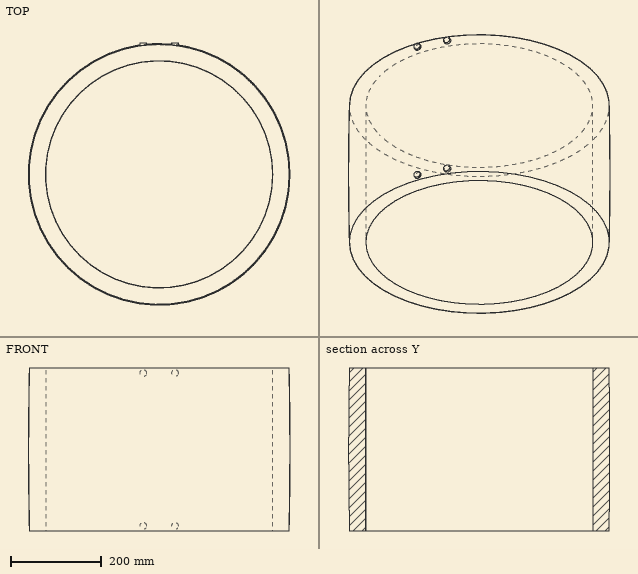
import cadquery as cq
import math

length = 360.0
bore_radius = 250.0
band_radius = 288.5
end_radius = 286.5
band_width = 43.0

stud_diameter = 15.0
stud_spacing = 70.0
stud_edge_distance = 11.5
stud_tip_y = 290.0
stud_root_y = (bore_radius + end_radius) / 2

half_length = length / 2
half_band = band_width / 2

crown_drop = band_radius - end_radius
crown_length = half_length - half_band
crown_radius = (crown_length**2 + crown_drop**2) / (2 * crown_drop)
crown_mid_z = crown_length / 2
crown_mid_radius = band_radius - crown_radius + math.sqrt(crown_radius**2 - crown_mid_z**2)


def make_ring():
    """Revolve the wall section about Z; sketch coordinates are (radius, z)."""
    return (
        cq.Workplane("XZ")
        .moveTo(bore_radius, -half_length)
        .lineTo(end_radius, -half_length)
        .threePointArc((crown_mid_radius, -half_band - crown_mid_z), (band_radius, -half_band))
        .lineTo(band_radius, half_band)
        .threePointArc((crown_mid_radius, half_band + crown_mid_z), (end_radius, half_length))
        .lineTo(bore_radius, half_length)
        .close()
        .revolve(360, (0, 0, 0), (0, 1, 0))
    )


def make_studs():
    """Four studs pointing along +Y, one pair near each end face."""
    return (
        cq.Workplane("XZ", origin=(0, stud_root_y, 0))
        .rarray(stud_spacing, length - 2 * stud_edge_distance, 2, 2)
        .circle(stud_diameter / 2)
        .extrude(stud_root_y - stud_tip_y)
    )


result = make_ring().union(make_studs())